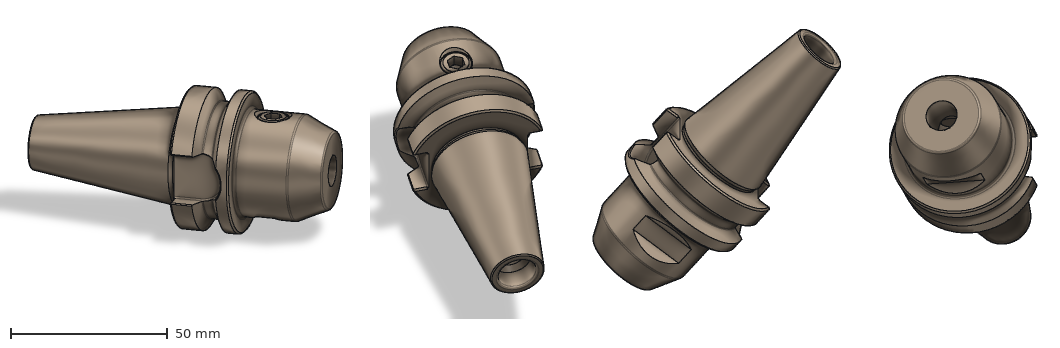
import cadquery as cq
import math

TOTAL_LENGTH = 98.4

CUT_MARGIN = 1.0
PICK_MARGIN = 0.1

GAUGE_X = 48.4
GAUGE_RADIUS = 31.8 / 2
TAPER_RADIUS_SLOPE = 7 / 48
TAPER_END_RADIUS = GAUGE_RADIUS - GAUGE_X * TAPER_RADIUS_SLOPE
TAPER_END_CHAMFER = 0.4

NECK_X = 49.7
NECK_RADIUS = 15.3

FLANGE_START_X = 50.5
FLANGE_END_X = 70.3
FLANGE_RADIUS = 46.0 / 2
FLANGE_CHAMFER = 0.6
GROOVE_CENTER_X = 61.9
GROOVE_FLOOR_WIDTH = 3.4
GROOVE_RADIUS = 18.9
GROOVE_ROOT_FILLET = 0.4
GROOVE_FLANK_ANGLE = 30
GROOVE_FLANK_RUN = (FLANGE_RADIUS - GROOVE_RADIUS) * math.tan(math.radians(GROOVE_FLANK_ANGLE))
GROOVE_END_X = GROOVE_CENTER_X + GROOVE_FLOOR_WIDTH / 2 + GROOVE_FLANK_RUN

BODY_RADIUS = 34.5 / 2
BODY_ROOT_FILLET = 1.0
NOSE_START_X = 88.2
NOSE_END_RADIUS = 12.6
NOSE_START_FILLET = 1.5
NOSE_END_FILLET = 0.8

BORE_DIAMETER = 10.0
PILOT_DIAMETER = 12.5
PILOT_DEPTH = 6.9
PILOT_MOUTH_FILLET = 0.8
PILOT_CONE_HALF_ANGLE = 30
PILOT_CONE_LENGTH = (PILOT_DIAMETER - BORE_DIAMETER) / 2 / math.tan(math.radians(PILOT_CONE_HALF_ANGLE))

SLOT_HALF_WIDTH = 8.1
SLOT_FLOOR_Y = 16.2
SLOT_END_X = 67.6
SLOT_FLOOR_FILLET = 0.5
SLOT_FACE_CHAMFER = 0.6
SLOT_RIM_CHAMFER = 0.4

SCREW_X = 78.8
SCREW_DIAMETER = 10.0
MOUTH_RADIUS = 6.0

SCREW_TIP_Z = 4.5
SCREW_TOP_Z = 16.6
SCREW_END_DIAMETER = 8.4
SCREW_CHAMFER = (SCREW_DIAMETER - SCREW_END_DIAMETER) / 2
SOCKET_SIDES = 6
SOCKET_ACROSS_FLATS = 5.0
SOCKET_DEPTH = 3.9
SOCKET_CONE_HALF_ANGLE = 60

NOTCH_FLOOR_Z = -14.5
NOTCH_FLOOR_WIDTH = 6.3


def revolve_about_x(outline):
    return outline.close().revolve(360, (0, 0, 0), (1, 0, 0))


def make_outer_shape():
    groove_left_x = GROOVE_CENTER_X - GROOVE_FLOOR_WIDTH / 2
    groove_right_x = GROOVE_CENTER_X + GROOVE_FLOOR_WIDTH / 2
    outline = (
        cq.Workplane("XY")
        .lineTo(0, TAPER_END_RADIUS - TAPER_END_CHAMFER)
        .lineTo(TAPER_END_CHAMFER, TAPER_END_RADIUS)
        .lineTo(GAUGE_X, GAUGE_RADIUS)
        .lineTo(NECK_X, NECK_RADIUS)
        .lineTo(FLANGE_START_X, NECK_RADIUS)
        .lineTo(FLANGE_START_X, FLANGE_RADIUS - FLANGE_CHAMFER)
        .lineTo(FLANGE_START_X + FLANGE_CHAMFER, FLANGE_RADIUS)
        .lineTo(groove_left_x - GROOVE_FLANK_RUN, FLANGE_RADIUS)
        .lineTo(groove_left_x, GROOVE_RADIUS)
        .lineTo(groove_right_x, GROOVE_RADIUS)
        .lineTo(GROOVE_END_X, FLANGE_RADIUS)
        .lineTo(FLANGE_END_X - FLANGE_CHAMFER, FLANGE_RADIUS)
        .lineTo(FLANGE_END_X, FLANGE_RADIUS - FLANGE_CHAMFER)
        .lineTo(FLANGE_END_X, BODY_RADIUS)
        .lineTo(NOSE_START_X, BODY_RADIUS)
        .lineTo(TOTAL_LENGTH, NOSE_END_RADIUS)
        .lineTo(TOTAL_LENGTH, 0)
    )
    return revolve_about_x(outline)


def circle_at(x, radius):
    """Selects the circular edge around the X axis at this place and radius."""
    low = (x - PICK_MARGIN, -radius - PICK_MARGIN, -radius - PICK_MARGIN)
    high = (x + PICK_MARGIN, radius + PICK_MARGIN, radius + PICK_MARGIN)
    return cq.selectors.BoxSelector(low, high, boundingbox=True)


def round_outer_edges(shape):
    shape = shape.edges(circle_at(TOTAL_LENGTH, NOSE_END_RADIUS)).fillet(NOSE_END_FILLET)
    shape = shape.edges(circle_at(NOSE_START_X, BODY_RADIUS)).fillet(NOSE_START_FILLET)
    for side in (-1, 1):
        root_x = GROOVE_CENTER_X + side * GROOVE_FLOOR_WIDTH / 2
        shape = shape.edges(circle_at(root_x, GROOVE_RADIUS)).fillet(GROOVE_ROOT_FILLET)
    return shape.edges(circle_at(FLANGE_END_X, BODY_RADIUS)).fillet(BODY_ROOT_FILLET)


def make_bore():
    """Through bore, with a wider pilot at the taper end and a rounded mouth."""
    pilot_radius = PILOT_DIAMETER / 2
    mouth_radius = pilot_radius + PILOT_MOUTH_FILLET
    outline = (
        cq.Workplane("XY")
        .lineTo(0, mouth_radius)
        .radiusArc((PILOT_MOUTH_FILLET, pilot_radius), -PILOT_MOUTH_FILLET)
        .lineTo(PILOT_DEPTH, pilot_radius)
        .lineTo(PILOT_DEPTH + PILOT_CONE_LENGTH, BORE_DIAMETER / 2)
        .lineTo(TOTAL_LENGTH, BORE_DIAMETER / 2)
        .lineTo(TOTAL_LENGTH, 0)
    )
    return revolve_about_x(outline)


def make_drive_slot():
    """Round-ended drive slot on the +Y side, with a filleted floor."""
    arc_center_x = SLOT_END_X - SLOT_HALF_WIDTH
    open_x = FLANGE_START_X - CUT_MARGIN
    slot = (
        cq.Workplane("XZ", origin=(0, SLOT_FLOOR_Y, 0))
        .moveTo(open_x, -SLOT_HALF_WIDTH)
        .lineTo(arc_center_x, -SLOT_HALF_WIDTH)
        .threePointArc((SLOT_END_X, 0), (arc_center_x, SLOT_HALF_WIDTH))
        .lineTo(open_x, SLOT_HALF_WIDTH)
        .close()
        .extrude(-FLANGE_RADIUS)
    )
    return slot.faces("<Y").edges("not <X").fillet(SLOT_FLOOR_FILLET)


def make_face_wedge():
    """Wedge that chamfers the +Z wall of the +Y slot along the flange face."""
    return (
        cq.Workplane("XZ", origin=(0, SLOT_FLOOR_Y + SLOT_FLOOR_FILLET, 0))
        .moveTo(FLANGE_START_X, SLOT_HALF_WIDTH)
        .lineTo(FLANGE_START_X + SLOT_FACE_CHAMFER, SLOT_HALF_WIDTH)
        .lineTo(FLANGE_START_X, SLOT_HALF_WIDTH + SLOT_FACE_CHAMFER)
        .close()
        .extrude(-FLANGE_RADIUS)
    )


def rim_y_at(z):
    return math.sqrt(FLANGE_RADIUS**2 - z**2)


def make_rim_wedge():
    """Wedge that chamfers the +Z wall of the +Y slot along the rim ahead of the V-groove."""
    chamfered_z = SLOT_HALF_WIDTH + SLOT_RIM_CHAMFER
    return (
        cq.Workplane("YZ", origin=(FLANGE_START_X, 0, 0))
        .moveTo(rim_y_at(SLOT_HALF_WIDTH) - SLOT_RIM_CHAMFER, SLOT_HALF_WIDTH)
        .lineTo(rim_y_at(chamfered_z), chamfered_z)
        .lineTo(FLANGE_RADIUS, chamfered_z)
        .lineTo(FLANGE_RADIUS, SLOT_HALF_WIDTH)
        .close()
        .extrude(GROOVE_CENTER_X - FLANGE_START_X)
    )


def cut_drive_slots(holder):
    slot = make_drive_slot()
    holder = holder.cut(slot).cut(slot.mirror("XZ"))
    for wedge in (make_face_wedge(), make_rim_wedge()):
        wedge_pair = wedge.union(wedge.mirror("XY"))
        holder = holder.cut(wedge_pair).cut(wedge_pair.mirror("XZ"))
    for side in (-1, 1):
        inner_corner = (GROOVE_END_X - PICK_MARGIN, side * SLOT_FLOOR_Y, -SLOT_HALF_WIDTH)
        outer_corner = (SLOT_END_X + PICK_MARGIN, side * (FLANGE_RADIUS + PICK_MARGIN), SLOT_HALF_WIDTH)
        slot_end_rim = cq.selectors.BoxSelector(inner_corner, outer_corner, boundingbox=True)
        holder = holder.edges(slot_end_rim).chamfer(SLOT_RIM_CHAMFER)
    return holder


def make_screw_hole():
    """Radial hole from the bore out to the top of the body, with a 45-degree mouth."""
    hole_radius = SCREW_DIAMETER / 2
    mouth_depth = MOUTH_RADIUS - hole_radius
    hole = cq.Workplane("XY", origin=(SCREW_X, 0, 0)).circle(hole_radius).extrude(BODY_RADIUS)
    mouth = cq.Solid.makeCone(
        hole_radius,
        MOUTH_RADIUS + CUT_MARGIN,
        mouth_depth + CUT_MARGIN,
        cq.Vector(SCREW_X, 0, BODY_RADIUS - mouth_depth),
    )
    return hole.union(cq.Workplane(mouth))


def make_notch():
    """45-degree notch along Y, across the whole underside of the body."""
    depth = BODY_RADIUS + NOTCH_FLOOR_Z
    floor_half = NOTCH_FLOOR_WIDTH / 2
    return (
        cq.Workplane("XZ", origin=(SCREW_X, 0, 0))
        .moveTo(-floor_half, NOTCH_FLOOR_Z)
        .lineTo(floor_half, NOTCH_FLOOR_Z)
        .lineTo(floor_half + depth, -BODY_RADIUS)
        .lineTo(-floor_half - depth, -BODY_RADIUS)
        .close()
        .extrude(BODY_RADIUS, both=True)
    )


def make_holder():
    holder = round_outer_edges(make_outer_shape())
    holder = cut_drive_slots(holder)
    return holder.cut(make_bore()).cut(make_screw_hole()).cut(make_notch())


def make_screw():
    """Headless clamping screw with chamfered ends and a hexagon socket."""
    screw = (
        cq.Workplane("XY", origin=(SCREW_X, 0, SCREW_TIP_Z))
        .circle(SCREW_DIAMETER / 2)
        .extrude(SCREW_TOP_Z - SCREW_TIP_Z)
        .edges()
        .chamfer(SCREW_CHAMFER)
    )
    corner_diameter = SOCKET_ACROSS_FLATS / math.cos(math.pi / SOCKET_SIDES)
    socket_floor_z = SCREW_TOP_Z - SOCKET_DEPTH
    socket = (
        cq.Workplane("XY", origin=(SCREW_X, 0, socket_floor_z))
        .polygon(SOCKET_SIDES, corner_diameter)
        .extrude(SOCKET_DEPTH)
    )
    drill_radius = SOCKET_ACROSS_FLATS / 2
    drill_tip_depth = drill_radius / math.tan(math.radians(SOCKET_CONE_HALF_ANGLE))
    drill_tip = cq.Solid.makeCone(
        0, drill_radius, drill_tip_depth, cq.Vector(SCREW_X, 0, socket_floor_z - drill_tip_depth)
    )
    return screw.cut(socket).cut(cq.Workplane(drill_tip))


holder = make_holder()
screw = make_screw()
result = cq.Compound.makeCompound([holder.solids().val(), screw.solids().val()])